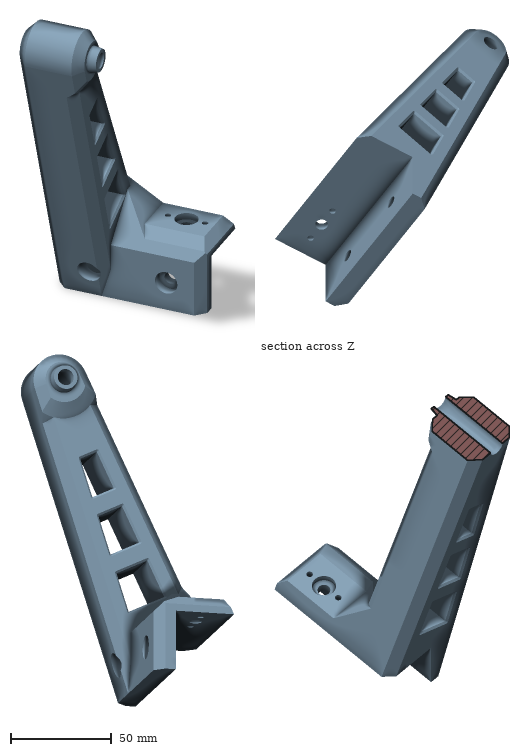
import cadquery as cq
import math

TOTAL_LENGTH = 80.0
TOTAL_HEIGHT = 170.2
TOTAL_DEPTH = 90.0
ARM_WIDTH = 30.0
LEDGE = 30.0
FRONT_Y = -10.2
CHAMFER = 5.0

HEAD_RADIUS = 14.0
HEAD_WIDTH = 35.0
HEAD_Y = LEDGE - TOTAL_DEPTH + HEAD_RADIUS
HEAD_Z = TOTAL_HEIGHT - HEAD_RADIUS
BORE_DIAMETER = 8.2
PIN_LENGTH = 5.0
PIN_ROOT_DIAMETER = 13.6
PIN_TIP_DIAMETER = 12.0
FLARE_TIP_RADIUS = 11.5
FLARE_MIDDLE_RADIUS = 18.7
FLARE_ROOT_RADIUS = 22.1

BLOCK_TOP = 38.5
FRONT_BEVEL_Z = 30.1
UPPER_BEVEL_RUN = 8.2
UPPER_BEVEL_RISE = 3.5
RAMP_FOOT_X = 42.7

SCREW_DIAMETER = 6.3
SCREW_HEAD_DIAMETER = 12.0
SCREW_FLOOR = 5.0
SCREW_OFFSET = 15.3
FIRST_SCREW_X = 20.0
SECOND_SCREW_X = 59.9
DOWEL_DIAMETER = 3.2
DOWEL_SPACING = 10.0

WINDOW_COUNT = 3
WINDOW_LENGTH = 20.0
WINDOW_PITCH = 30.0
WINDOW_START = 27.5
WINDOW_MARGIN = 11.9
WINDOW_RIM = 1.0

OVERSIZE = 68.0


def edge_direction(y, z, side):
    """Unit direction from a point to its tangent point on the head circle."""
    dy = HEAD_Y - y
    dz = HEAD_Z - z
    angle = math.atan2(dz, dy) - side * math.asin(HEAD_RADIUS / math.hypot(dy, dz))
    return math.cos(angle), math.sin(angle)


BACK_DY, BACK_DZ = edge_direction(LEDGE, LEDGE, 1)
FRONT_DY, FRONT_DZ = edge_direction(FRONT_Y, 0, -1)


def back_edge_y(z):
    return LEDGE + (z - LEDGE) * BACK_DY / BACK_DZ


def front_edge_y(z):
    return FRONT_Y + z * FRONT_DY / FRONT_DZ


def side_profile(points, length):
    """Extrude a polygon of (y, z) points along X from x = 0."""
    return cq.Workplane("YZ").polyline(points).close().extrude(length)


def x_cylinder(diameter, start, length):
    plane = cq.Workplane("YZ", origin=(start, HEAD_Y, HEAD_Z))
    return plane.circle(diameter / 2).extrude(length)


def chamfered_arm(width):
    """Tapering arm with a round head, chamfered on both sides and running on below z = 0."""
    low = -OVERSIZE
    back_tangent = (HEAD_Y + HEAD_RADIUS * BACK_DZ, HEAD_Z - HEAD_RADIUS * BACK_DY)
    front_tangent = (HEAD_Y - HEAD_RADIUS * FRONT_DZ, HEAD_Z + HEAD_RADIUS * FRONT_DY)
    return (
        cq.Workplane("YZ")
        .moveTo(front_edge_y(low), low)
        .lineTo(back_edge_y(low), low)
        .lineTo(*back_tangent)
        .threePointArc((HEAD_Y, TOTAL_HEIGHT), front_tangent)
        .close()
        .extrude(width)
        .faces("<X or >X")
        .edges()
        .chamfer(CHAMFER)
    )


def head():
    """Wide end of the arm, limited by a flare turned about the bore axis."""
    flare = (
        cq.Workplane("XY", origin=(0, HEAD_Y, HEAD_Z))
        .moveTo(0, 0)
        .lineTo(0, FLARE_ROOT_RADIUS)
        .lineTo(ARM_WIDTH - CHAMFER, FLARE_ROOT_RADIUS)
        .lineTo(ARM_WIDTH, FLARE_MIDDLE_RADIUS)
        .lineTo(HEAD_WIDTH, FLARE_TIP_RADIUS)
        .lineTo(HEAD_WIDTH, 0)
        .close()
        .revolve(360, (0, 0, 0), (1, 0, 0))
    )
    return chamfered_arm(HEAD_WIDTH).intersect(flare)


def pin():
    return (
        cq.Workplane("YZ", origin=(HEAD_WIDTH, HEAD_Y, HEAD_Z))
        .circle(PIN_ROOT_DIAMETER / 2)
        .workplane(offset=PIN_LENGTH)
        .circle(PIN_TIP_DIAMETER / 2)
        .loft()
    )


def ramp():
    """Web between arm and block, under a 45 degree slope facing +X."""
    slope_reach = RAMP_FOOT_X + BLOCK_TOP
    back_slope = BACK_DY / BACK_DZ
    bevel_y = FRONT_Y - FRONT_BEVEL_Z
    peak_z = (LEDGE - LEDGE * back_slope - bevel_y) / (1 - back_slope)
    web = side_profile(
        [
            (FRONT_Y, 0),
            (back_edge_y(0), 0),
            (back_edge_y(peak_z), peak_z),
            (FRONT_Y, FRONT_BEVEL_Z),
        ],
        RAMP_FOOT_X + UPPER_BEVEL_RISE,
    )
    below_slope = (
        cq.Workplane("XZ")
        .polyline([(CHAMFER, 0), (slope_reach, 0), (CHAMFER, slope_reach - CHAMFER)])
        .close()
        .extrude(OVERSIZE, both=True)
    )
    return web.intersect(below_slope)


def block():
    """Base block with bevelled front and a chamfered +X end."""
    upper_bevel_z = BLOCK_TOP - UPPER_BEVEL_RISE
    upper_bevel_y = FRONT_Y + upper_bevel_z - FRONT_BEVEL_Z
    profile = [
        (FRONT_Y, 0),
        (back_edge_y(0), 0),
        (back_edge_y(BLOCK_TOP), BLOCK_TOP),
        (upper_bevel_y + UPPER_BEVEL_RUN, BLOCK_TOP),
        (upper_bevel_y, upper_bevel_z),
        (FRONT_Y, FRONT_BEVEL_Z),
    ]
    envelope = (
        cq.Workplane("XY")
        .box(TOTAL_LENGTH - CHAMFER, OVERSIZE, BLOCK_TOP, centered=False)
        .translate((CHAMFER, FRONT_Y, 0))
        .edges("(>X and >Z) or (>X and <Y)")
        .chamfer(CHAMFER)
    )
    return side_profile(profile, TOTAL_LENGTH).intersect(envelope)


def below_ground():
    side = 4 * OVERSIZE
    return cq.Workplane("XY").rect(side, side).extrude(-2 * OVERSIZE)


def inside_corner():
    return cq.Workplane("XY").box(TOTAL_LENGTH, 2 * OVERSIZE, LEDGE, centered=False)


def window_corner(along, front_side):
    """Corner of a window at a distance along the back edge, on its back or front side."""
    across = WINDOW_MARGIN
    if front_side:
        start_y = LEDGE + along * BACK_DY - FRONT_Y
        start_z = LEDGE + along * BACK_DZ
        gap = start_y * FRONT_DZ - start_z * FRONT_DY
        closing = BACK_DZ * FRONT_DZ + BACK_DY * FRONT_DY
        across = (gap - WINDOW_MARGIN) / closing
    y = LEDGE + along * BACK_DY - across * BACK_DZ
    z = LEDGE + along * BACK_DZ + across * BACK_DY
    return y, z


def window(start):
    end = start + WINDOW_LENGTH
    corners = [
        window_corner(start, False),
        window_corner(end, False),
        window_corner(end, True),
        window_corner(start, True),
    ]
    opening = side_profile(corners, ARM_WIDTH)
    left_rim = (
        cq.Workplane("YZ")
        .workplane(offset=WINDOW_RIM)
        .polyline(corners)
        .close()
        .extrude(-WINDOW_RIM, taper=-45)
    )
    right_rim = left_rim.mirror("YZ").translate((ARM_WIDTH, 0, 0))
    return opening.union(left_rim).union(right_rim)


def front_screw(x):
    plane = cq.Workplane("XZ", origin=(x, 0, SCREW_OFFSET))
    through = plane.circle(SCREW_DIAMETER / 2).extrude(OVERSIZE)
    seat = plane.workplane(offset=SCREW_FLOOR).circle(SCREW_HEAD_DIAMETER / 2).extrude(OVERSIZE / 4)
    return through.union(seat)


def top_holes():
    plane = cq.Workplane("XY", origin=(SECOND_SCREW_X, SCREW_OFFSET, LEDGE))
    through = plane.circle(SCREW_DIAMETER / 2).extrude(OVERSIZE)
    seat = plane.workplane(offset=SCREW_FLOOR).circle(SCREW_HEAD_DIAMETER / 2).extrude(OVERSIZE)
    dowels = (
        plane.pushPoints([(-DOWEL_SPACING, 0), (DOWEL_SPACING, 0)])
        .circle(DOWEL_DIAMETER / 2)
        .extrude(OVERSIZE)
    )
    return through.union(seat).union(dowels)


body = chamfered_arm(ARM_WIDTH).union(head()).union(pin()).union(ramp()).union(block())
body = body.cut(below_ground()).cut(inside_corner())
body = body.cut(x_cylinder(BORE_DIAMETER, 0, HEAD_WIDTH + PIN_LENGTH))
for index in range(WINDOW_COUNT):
    body = body.cut(window(WINDOW_START + index * WINDOW_PITCH))
for screw_x in (FIRST_SCREW_X, SECOND_SCREW_X):
    body = body.cut(front_screw(screw_x))
result = body.cut(top_holes())